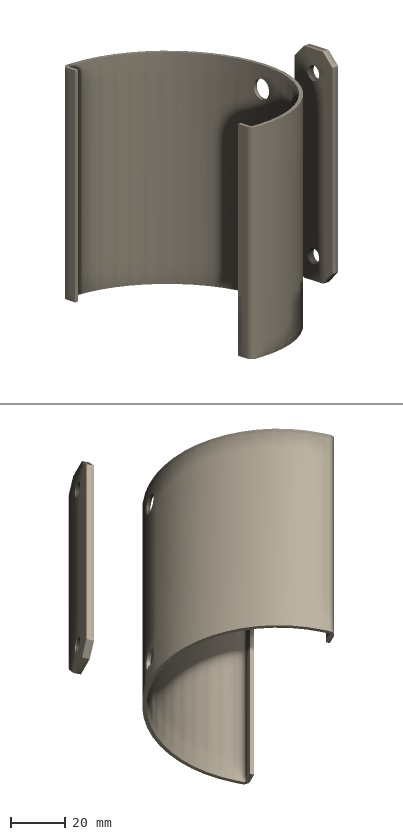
import cadquery as cq
import math

height = 90.0
hole_inset = 9.5
hole_heights = (hole_inset, height - hole_inset)

outer_radius = 50.0
sheet = 1.5
inner_radius = outer_radius - sheet
bend_outer = 2.5
bend_inner = bend_outer - sheet
lip_reach = 7.0
front_drop = 5.4
shell_hole_diameter = 8.0

plate_width = 20.0
plate_thickness = 3.0
plate_corner = 5.0
plate_gap = 25.0
plate_hole_diameter = 6.0


def hole_cutters(diameter, start_y, length):
    """Rods along +Y at both hole heights."""
    centres = [(0, z) for z in hole_heights]
    return (
        cq.Workplane("XZ", origin=(0, start_y, 0))
        .pushPoints(centres)
        .circle(diameter / 2)
        .extrude(-length)
    )


def make_shell():
    """Half-round sheet, mirrored about the YZ plane, with a bent lip on each side."""
    front_y = -front_drop
    bend_y = front_y + bend_outer
    bend_x = outer_radius - bend_outer
    lip_x = outer_radius - lip_reach
    diagonal = math.sqrt(0.5)
    outer_mid = outer_radius * diagonal
    inner_mid = inner_radius * diagonal
    bend_outer_mid = (bend_x + bend_outer * diagonal, bend_y - bend_outer * diagonal)
    bend_inner_mid = (bend_x + bend_inner * diagonal, bend_y - bend_inner * diagonal)
    profile = (
        cq.Workplane("XY")
        .moveTo(0, outer_radius)
        .threePointArc((outer_mid, outer_mid), (outer_radius, 0))
        .lineTo(outer_radius, bend_y)
        .threePointArc(bend_outer_mid, (bend_x, front_y))
        .lineTo(lip_x, front_y)
        .lineTo(lip_x, front_y + sheet)
        .lineTo(bend_x, front_y + sheet)
        .threePointArc(bend_inner_mid, (inner_radius, bend_y))
        .lineTo(inner_radius, 0)
        .threePointArc((inner_mid, inner_mid), (0, inner_radius))
        .close()
    )
    half = profile.extrude(height)
    whole = half.union(half.mirror("YZ"))
    return whole.cut(hole_cutters(shell_hole_diameter, 0, outer_radius + sheet))


def make_plate():
    """Flat bar with chamfered corners and two through holes."""
    front_y = outer_radius + plate_gap
    bar = (
        cq.Workplane("XY", origin=(0, front_y, 0))
        .box(plate_width, plate_thickness, height, centered=(True, False, False))
        .edges("|Y")
        .chamfer(plate_corner)
    )
    return bar.cut(hole_cutters(plate_hole_diameter, front_y, plate_thickness))


shell = make_shell()
plate = make_plate()

result = cq.Compound.makeCompound([shell.solids().val(), plate.solids().val()])